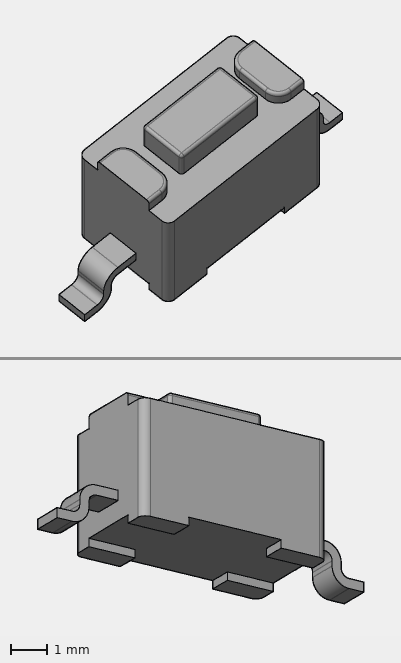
import cadquery as cq

body_width = 3.5
body_length = 6.0
body_height = 3.5
body_corner_radius = 0.25

channel_depth = 0.25
lengthwise_channel_width = 2.0
crosswise_channel_width = 3.0

button_width = 1.52
button_length = 3.0
button_height = 0.82

pad_width = 2.0
pad_length = 1.0
pad_height = 0.4
pad_corner_radius = 0.5

edge_radius = 0.1

lead_span = 9.97
lead_width = 1.0
lead_thickness = 0.3
lead_drop_below_body = 0.1
lead_rise = 1.25
upper_flat_length = 0.7
inner_bend_radius = 0.25
outer_bend_radius = inner_bend_radius + lead_thickness


def make_body():
    block = (
        cq.Workplane("XY")
        .rect(body_width, body_length)
        .extrude(body_height)
        .edges("|Z")
        .fillet(body_corner_radius)
    )
    lengthwise_channel = (
        cq.Workplane("XY").rect(lengthwise_channel_width, body_length).extrude(channel_depth)
    )
    crosswise_channel = (
        cq.Workplane("XY").rect(body_width, crosswise_channel_width).extrude(channel_depth)
    )
    return block.cut(lengthwise_channel).cut(crosswise_channel)


def make_button():
    return (
        cq.Workplane("XY", origin=(0, 0, body_height))
        .rect(button_width, button_length)
        .extrude(button_height)
        .edges("|Z or >Z")
        .fillet(edge_radius)
    )


def make_pad():
    """Guard pad at the -Y end, its flat side flush with the housing end."""
    pad = (
        cq.Workplane("XY", origin=(0, (pad_length - body_length) / 2, body_height))
        .rect(pad_width, pad_length)
        .extrude(pad_height)
        .edges("|Z and >Y")
        .fillet(pad_corner_radius)
    )
    return pad.faces(">Z").edges("not <Y").fillet(edge_radius)


def make_lead():
    """S-bent strip at the +Y end, drawn in the YZ plane and extruded across X."""
    wall_y = body_length / 2
    bottom_z = -lead_drop_below_body
    top_z = bottom_z + lead_rise
    foot_top_z = bottom_z + lead_thickness
    upper_under_z = top_z - lead_thickness

    upper_bend_y = wall_y + upper_flat_length
    upper_bend_z = top_z - outer_bend_radius
    riser_inner_y = upper_bend_y + inner_bend_radius
    riser_outer_y = upper_bend_y + outer_bend_radius
    lower_bend_y = riser_outer_y + inner_bend_radius
    lower_bend_z = bottom_z + outer_bend_radius
    tip_y = lead_span / 2

    profile = (
        cq.Workplane("YZ")
        .moveTo(wall_y, top_z)
        .lineTo(upper_bend_y, top_z)
        .radiusArc((riser_outer_y, upper_bend_z), outer_bend_radius)
        .lineTo(riser_outer_y, lower_bend_z)
        .radiusArc((lower_bend_y, foot_top_z), -inner_bend_radius)
        .lineTo(tip_y, foot_top_z)
        .lineTo(tip_y, bottom_z)
        .lineTo(lower_bend_y, bottom_z)
        .radiusArc((riser_inner_y, lower_bend_z), outer_bend_radius)
        .lineTo(riser_inner_y, upper_bend_z)
        .radiusArc((upper_bend_y, upper_under_z), -inner_bend_radius)
        .lineTo(wall_y, upper_under_z)
        .close()
    )
    return profile.extrude(lead_width / 2, both=True)


result = make_body().union(make_button())
for end_feature in (make_pad(), make_lead()):
    result = result.union(end_feature).union(end_feature.mirror("XZ"))